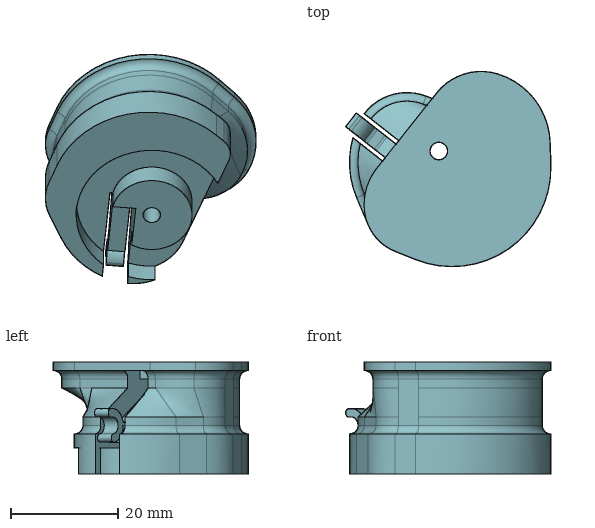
import cadquery as cq
import math

inset = 1.6
ledge = 0.05
root_fillet = inset - ledge
touching = 0.0005

height = 20.9
base_height = 7.5
flange_thickness = 1.6
core_low_top = 10.65
core_high_bottom = 16.07
back_line_share = 0.9
long_side_share = 0.16
flange_bottom = height - flange_thickness

hole_radius = 1.6

big_circle = (2.5, -3.15, 18.4)
low_left_circle = (-4.75, -10.2, 9.15)
flange_nose = (7.9, 4.3, 10.55)
flange_right_radius = 13.85
flange_right_joint = 73
flange_left_radius = 10.83
flange_left_joint = 189
base_lobe = (-5.93, 0.88, 10.02)
base_left_radius = 16.87
base_left_joint = 154
base_corner = (17.05, -1.3, 3.83)

hook_heading = 141.9
slot_centre = -5.5
slot_width = 4.82
tongue_width = 3.25
slot_end = -1.15
slot_upper_end = 1.72
slot_ceiling = flange_bottom - inset
slot_reach = 22.95

hook_centre = 15.1
hook_centre_z = 9.05
hook_inner = 1.55
hook_outer = 3.15
hook_tip = 15.7
hook_low_end = -98
bar_top = 9.65
bar_fillet = 0.8
ramp_foot = 9.4
ramp_angle = 33

groove_inner = 7.5
groove_outer = 14.08
groove_depth = 4.9

heading = math.radians(hook_heading)
along = cq.Vector(math.cos(heading), math.sin(heading), 0)
across = cq.Vector(math.sin(heading), -math.cos(heading), 0)


def polar(circle, angle, shrink=0.0):
    """Point on a circle, whose radius may be reduced."""
    x, y, r = circle
    return (x + (r - shrink) * math.cos(angle), y + (r - shrink) * math.sin(angle))


def blended(circle, radius, degrees):
    """Circle of another radius that touches the given one from inside or outside at an angle."""
    x, y = polar(circle, math.radians(degrees), radius)
    return (x, y, radius)


def joint_angle(first, second):
    """Direction in which the common outer tangent of two circles touches them, counterclockwise."""
    dx = second[0] - first[0]
    dy = second[1] - first[1]
    ratio = (first[2] - second[2]) / math.hypot(dx, dy)
    return math.atan2(dy, dx) - math.acos(max(-1.0, min(1.0, ratio)))


def belt_edges(circles, shrink, z):
    """Edges of a belt around the circles: for each one its arc, then the tangent line to the next."""
    edges = []
    count = len(circles)
    for i, circle in enumerate(circles):
        following = circles[(i + 1) % count]
        start = joint_angle(circles[i - 1], circle)
        end = joint_angle(circle, following)
        sweep = (end - start) % (2 * math.pi)
        arc = [cq.Vector(*polar(circle, start + sweep * part, shrink), z) for part in (0, 0.5, 1)]
        edges.append(cq.Edge.makeThreePointArc(*arc))
        next_start = cq.Vector(*polar(following, end, shrink), z)
        if (next_start - arc[2]).Length > touching:
            edges.append(cq.Edge.makeLine(arc[2], next_start))
    return edges


def prism(edges, depth):
    face = cq.Face.makeFromWires(cq.Wire.assembleEdges(edges))
    return cq.Workplane(cq.Solid.extrudeLinear(face, cq.Vector(0, 0, depth)))


flange_circles = [
    blended(low_left_circle, flange_left_radius, flange_left_joint),
    low_left_circle,
    big_circle,
    blended(flange_nose, flange_right_radius, flange_right_joint),
    flange_nose,
]
base_circles = [
    base_lobe,
    blended(base_lobe, base_left_radius, base_left_joint),
    low_left_circle,
    big_circle,
    base_corner,
]


def fillet_root(body, level):
    """Fillet the inner corner where the core meets the rim face at the given height."""
    rim_face = [f for f in body.faces("|Z").vals() if abs(f.Center().z - level) < ledge][0]
    return body.newObject(rim_face.innerWires()[0].Edges()).fillet(root_fillet)


def base_rim():
    rim = prism(belt_edges(base_circles, 0, 0), base_height)
    core = prism(belt_edges(base_circles, inset, 0), core_low_top)
    return fillet_root(rim.union(core), base_height)


def flange_rim():
    rim = prism(belt_edges(flange_circles, 0, flange_bottom), flange_thickness)
    core = prism(belt_edges(flange_circles, inset, core_high_bottom), height - core_high_bottom)
    return fillet_root(rim.union(core), flange_bottom)


def split_line(edge, shares):
    """Cut a straight edge at the given shares of its length."""
    start = edge.startPoint()
    span = edge.endPoint() - start
    cuts = [start + span * share for share in [0, *shares, 1]]
    return [cq.Edge.makeLine(a, b) for a, b in zip(cuts, cuts[1:])]


def core_transition():
    """Ruled solid from the base core outline up to the flange core outline."""
    low = belt_edges(base_circles, inset, core_low_top)
    high = belt_edges(flange_circles, inset, core_high_bottom)
    back_start, back_end = split_line(low.pop(), [back_line_share])
    low = [back_end, *low, back_start]
    long_side = high.pop()
    start = long_side.startPoint()
    slot_share = (slot_centre - start.dot(across)) / (long_side.endPoint() - start).dot(across)
    high = split_line(long_side, [long_side_share, slot_share]) + high
    sides = [cq.Face.makeRuledSurface(e, f) for e, f in zip(low, high)]
    caps = [cq.Face.makeFromWires(cq.Wire.assembleEdges(ring)) for ring in (low, high)]
    return cq.Workplane(cq.Solid.makeSolid(cq.Shell.makeShell(sides + caps)))


def hook_plane(width):
    """Upright plane along the hook, on the near side of a strip of the given width."""
    return cq.Workplane(cq.Plane(across * (slot_centre - width / 2), along, across))


def slot():
    return (
        hook_plane(slot_width)
        .moveTo(slot_end, 0)
        .lineTo(slot_reach, 0)
        .lineTo(slot_reach, flange_bottom)
        .lineTo(slot_upper_end, flange_bottom)
        .lineTo(slot_upper_end, slot_ceiling)
        .lineTo(slot_end, slot_ceiling)
        .close()
        .extrude(slot_width)
    )


def bar():
    """Root of the hook: a flat top filleted to the hook and a ramp climbing inward."""
    front = hook_centre - hook_outer
    blend_z = bar_top + bar_fillet
    blend_angle = math.asin((blend_z - hook_centre_z) / (hook_outer + bar_fillet))
    blend_centre = hook_centre - (hook_outer + bar_fillet) * math.cos(blend_angle)
    half_turn = (math.pi / 2 - blend_angle) / 2
    blend = [
        (blend_centre + bar_fillet * math.cos(turn), blend_z - bar_fillet * math.sin(turn))
        for turn in (blend_angle, blend_angle + half_turn, math.pi / 2)
    ]
    ramp = math.radians(ramp_angle)
    trim = bar_fillet * math.tan(ramp / 2)
    ramp_start = (ramp_foot - trim * math.cos(ramp), bar_top + trim * math.sin(ramp))
    return (
        hook_plane(tongue_width)
        .moveTo(slot_end, hook_centre_z - hook_outer)
        .lineTo(front, hook_centre_z - hook_outer)
        .lineTo(front, hook_centre_z)
        .lineTo(*blend[0])
        .threePointArc(blend[1], blend[2])
        .lineTo(ramp_foot + trim, bar_top)
        .tangentArcPoint(ramp_start, relative=False)
        .lineTo(slot_end, bar_top + (ramp_foot - slot_end) * math.tan(ramp))
        .close()
        .extrude(tongue_width)
    )


def hook():
    """C-shaped hook open outward, with rounded arm ends."""
    middle = (hook_inner + hook_outer) / 2
    end_radius = (hook_outer - hook_inner) / 2
    low = math.radians(hook_low_end)

    def at(radius, angle):
        return (hook_centre + radius * math.cos(angle), hook_centre_z + radius * math.sin(angle))

    low_tip = at(middle, low)
    low_tip_end = (low_tip[0] - end_radius * math.sin(low), low_tip[1] + end_radius * math.cos(low))
    return (
        hook_plane(tongue_width)
        .moveTo(hook_tip, hook_centre_z + hook_outer)
        .lineTo(hook_centre, hook_centre_z + hook_outer)
        .threePointArc(at(hook_outer, math.pi), at(hook_outer, low))
        .threePointArc(low_tip_end, at(hook_inner, low))
        .threePointArc(at(hook_inner, math.pi), at(hook_inner, math.pi / 2))
        .lineTo(hook_tip, hook_centre_z + hook_inner)
        .threePointArc((hook_tip + end_radius, hook_centre_z + middle), (hook_tip, hook_centre_z + hook_outer))
        .close()
        .extrude(tongue_width)
    )


def groove():
    """Ring-shaped groove around the hole; it breaks out through the lobe of the base."""
    return cq.Workplane().circle(groove_outer).circle(groove_inner).extrude(groove_depth)


body = base_rim().union(core_transition()).union(flange_rim())
body = body.cut(slot()).cut(groove())
body = body.union(bar()).union(hook())
hole = cq.Workplane().circle(hole_radius).extrude(height)
result = body.cut(hole)